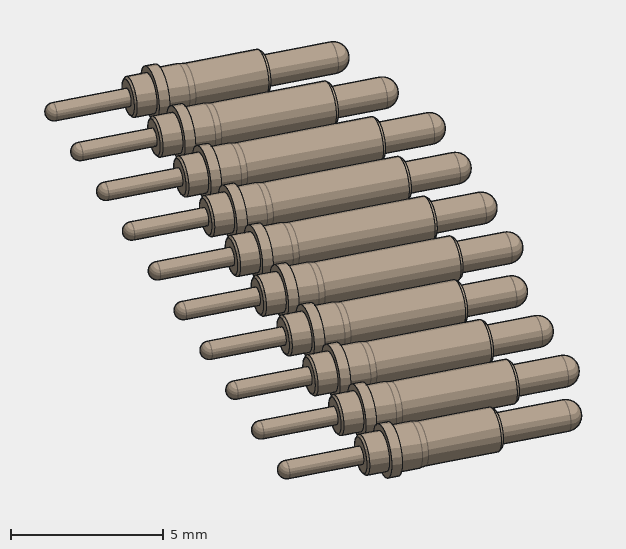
import cadquery as cq
import math

row_length = 24.7
flange_dia = 1.83

flange_r = flange_dia / 2
tail_r = 0.62 / 2
plunger_r = 1.05 / 2
barrel_r = 1.5 / 2
collar_r = 1.58 / 2
base_r = 1.38 / 2

base_bottom = 2.9
flange_bottom = 3.65
flange_top = 4.02
collar_top = 4.77
collar_ramp_top = 4.99
base_chamfer = 0.07
barrel_chamfer_length = 0.1
barrel_chamfer_depth = 0.07

short_pin = (7.63, 10.57)
medium_pin = (9.09, 11.38)
long_pin = (9.83, 12.12)
pin_row = [short_pin, medium_pin] + 4 * [long_pin] + 3 * [medium_pin] + [short_pin]
pitch = (row_length - flange_dia) / (len(pin_row) - 1)


def contact_pin(barrel_top, tip):
    """One pin revolved about the Y axis, with hemispherical tail and plunger ends."""
    diagonal = math.sqrt(0.5)
    tail_dome_mid = (tail_r * diagonal, tail_r * (1 - diagonal))
    tip_dome_mid = (plunger_r * diagonal, tip - plunger_r * (1 - diagonal))
    profile = (
        cq.Workplane("XY")
        .moveTo(0, 0)
        .threePointArc(tail_dome_mid, (tail_r, tail_r))
        .lineTo(tail_r, base_bottom)
        .lineTo(base_r - base_chamfer, base_bottom)
        .lineTo(base_r, base_bottom + base_chamfer)
        .lineTo(base_r, flange_bottom)
        .lineTo(flange_r, flange_bottom)
        .lineTo(flange_r, flange_top)
        .lineTo(collar_r, flange_top)
        .lineTo(collar_r, collar_top)
        .lineTo(barrel_r, collar_ramp_top)
        .lineTo(barrel_r, barrel_top - barrel_chamfer_length)
        .lineTo(barrel_r - barrel_chamfer_depth, barrel_top)
        .lineTo(plunger_r, barrel_top)
        .lineTo(plunger_r, tip - plunger_r)
        .threePointArc(tip_dome_mid, (0, tip))
        .close()
    )
    return profile.revolve(360, (0, 0, 0), (0, 1, 0))


first_x = (flange_dia - row_length) / 2
pins = []
for index, (barrel_top, tip) in enumerate(pin_row):
    pin = contact_pin(barrel_top, tip).translate((first_x + index * pitch, 0, 0))
    pins.append(pin.val())

result = cq.Compound.makeCompound(pins)